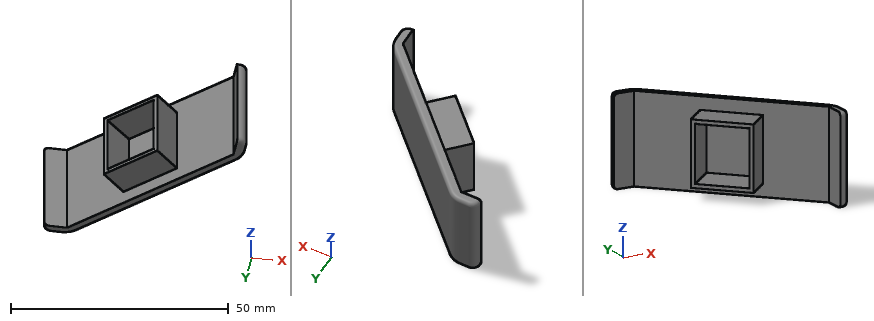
import cadquery as cq
import math

SIDE = 40.75
HEIGHT = 23.0
THICKNESS = 2.5
FLANGE_INNER = 5.3
BEND_RADIUS = 5.0
TIP_RADIUS = 2.0
EDGE_RADIUS = 1.0

BLOCK_LENGTH = 15.0
BLOCK_HEIGHT = 16.42
BLOCK_DEPTH = 7.85
WALL = 1.0
POCKET_DEPTH = 8.0
POCKET_INSET = 0.45

half = SIDE / 2
inner = half - THICKNESS
inner_bend = FLANGE_INNER - half
outer_bend = inner_bend + THICKNESS * math.tan(math.radians(22.5))
web_offset = (inner + inner_bend) / math.sqrt(2)


def bent_plate():
    outline = [
        (-half, inner),
        (-half, half),
        (outer_bend, half),
        (half, outer_bend),
        (half, -half),
        (inner, -half),
        (inner, inner_bend),
        (inner_bend, inner),
    ]
    plate = cq.Workplane("XY").polyline(outline).close().extrude(HEIGHT / 2, both=True)

    def round_upright_edges(body, points, radius):
        for x, y in points:
            body = body.edges("|Z").edges(cq.NearestToPointSelector((x, y, 0))).fillet(radius)
        return body

    plate = round_upright_edges(plate, [(outer_bend, half), (half, outer_bend)], BEND_RADIUS)
    plate = round_upright_edges(plate, [(-half, half), (half, -half)], TIP_RADIUS)

    web_middle = (outer_bend + half) / 2
    for z in (-HEIGHT / 2, HEIGHT / 2):
        rim = cq.NearestToPointSelector((web_middle, web_middle, z))
        plate = plate.edges(rim).fillet(EDGE_RADIUS)
    return plate


def web_plane(distance):
    """Plane parallel to the web: local X runs along the web, local Y is Z, normal points into the web."""
    position = distance / math.sqrt(2)
    return cq.Plane(origin=(position, position, 0), xDir=(-1, 1, 0), normal=(1, 1, 0))


def block():
    embed = THICKNESS / 2
    front = web_plane(web_offset - BLOCK_DEPTH)
    return cq.Workplane(front).rect(BLOCK_LENGTH, BLOCK_HEIGHT).extrude(BLOCK_DEPTH + embed)


def pocket():
    mouth_length = BLOCK_LENGTH - 2 * WALL
    mouth_height = BLOCK_HEIGHT - 2 * WALL
    return (
        cq.Workplane(web_plane(web_offset - BLOCK_DEPTH))
        .rect(mouth_length, mouth_height)
        .workplane(offset=POCKET_DEPTH)
        .rect(mouth_length - 2 * POCKET_INSET, mouth_height - 2 * POCKET_INSET)
        .loft(ruled=True)
    )


result = bent_plate().union(block()).cut(pocket())